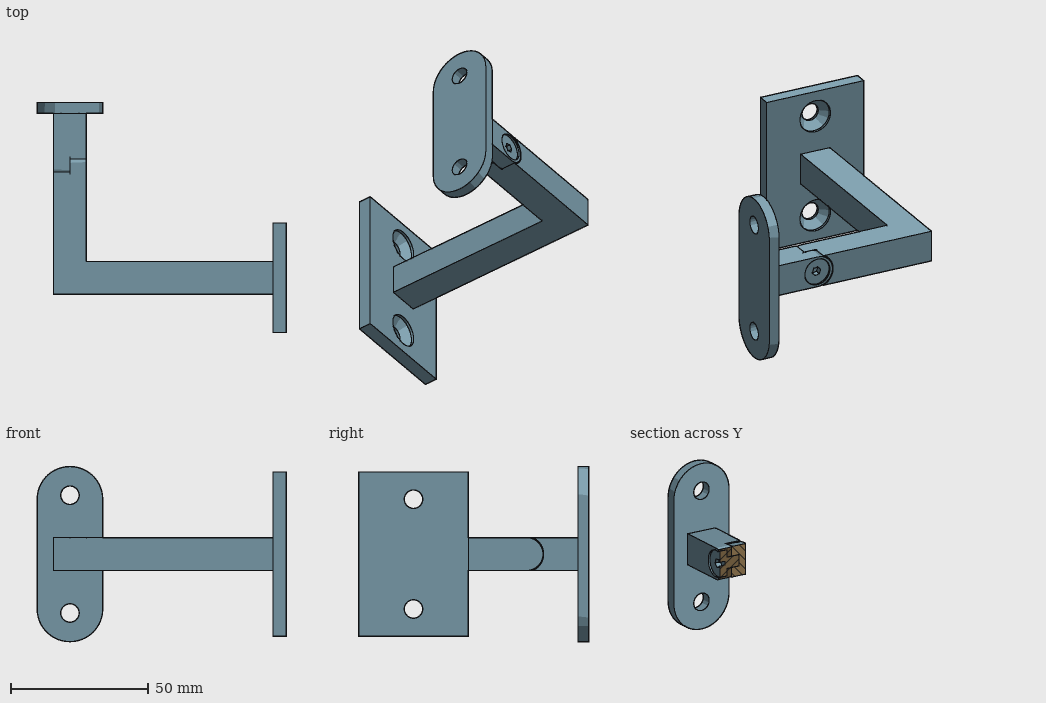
import cadquery as cq
import math

overall_x = 91.0
overall_y = 84.0

strap_width = 24.0
strap_height = 64.0
strap_thickness = 4.0
strap_hole_diameter = 6.6
strap_hole_spacing = 42.95

wall_plate_width = 40.0
wall_plate_height = 60.0
wall_plate_thickness = 5.0
wall_hole_spacing = 40.0
wall_hole_diameter = 6.6
countersink_diameter = 12.6
countersink_lead = 1.0

bar_size = 12.0
bar_half = bar_size / 2
bar_x = strap_width / 2
bar_end_y = overall_y - strap_thickness
arm_y = wall_plate_width / 2
arm_end_x = overall_x - wall_plate_thickness

pivot_to_strap_back = 22.9
pivot_y = overall_y - pivot_to_strap_back
tongue_overrun = 0.2
seat_clearance = 0.5
seat_radius = bar_half + seat_clearance

screw_head_diameter = 10.3
screw_head_height = 3.0
screw_head_sink = 0.7
screw_shank_diameter = 5.0
screw_tip_cover = 3.0
socket_across_flats = 3.0
socket_depth = 2.3
socket_sides = 6
socket_turn = -12

bar_z_range = (-bar_half, bar_half)
joint_left_x = bar_x - bar_half
joint_right_x = bar_x + bar_half


def box_between(x_range, y_range, z_range):
    """Box spanning the given (low, high) ranges."""
    sizes = [high - low for low, high in (x_range, y_range, z_range)]
    corner = (x_range[0], y_range[0], z_range[0])
    return cq.Workplane("XY").box(*sizes, centered=False).translate(corner)


def cross_cylinder(radius, x_start, x_end, center_y=pivot_y):
    """Cylinder running along X, on the pivot axis unless another center is given."""
    return (
        cq.Workplane("YZ", origin=(x_start, center_y, 0))
        .circle(radius)
        .extrude(x_end - x_start)
    )


def make_strap():
    """Upright plate with round ends and a screw hole near each end."""
    return (
        cq.Workplane("XZ", origin=(bar_x, overall_y, 0))
        .slot2D(strap_height, strap_width, angle=90)
        .extrude(strap_thickness)
        .faces("<Y")
        .workplane(centerOption="CenterOfBoundBox")
        .rarray(0.9, strap_hole_spacing, 1, 2)
        .hole(strap_hole_diameter)
    )


def wall_screw_hole():
    """Through hole along +X from the origin, countersunk below a short straight lead."""
    hole_radius = wall_hole_diameter / 2
    sink_radius = countersink_diameter / 2
    cone_end = countersink_lead + sink_radius - hole_radius
    return (
        cq.Workplane("XY")
        .polyline([
            (0, 0),
            (0, sink_radius),
            (countersink_lead, sink_radius),
            (cone_end, hole_radius),
            (wall_plate_thickness, hole_radius),
            (wall_plate_thickness, 0),
        ])
        .close()
        .revolve(360, (0, 0, 0), (1, 0, 0))
    )


def make_wall_plate():
    """Rectangular plate with a countersunk hole above and below the arm."""
    plate = (
        cq.Workplane("YZ", origin=(arm_end_x, arm_y, 0))
        .rect(wall_plate_width, wall_plate_height)
        .extrude(wall_plate_thickness)
    )
    for hole_z in (-wall_hole_spacing / 2, wall_hole_spacing / 2):
        plate = plate.cut(wall_screw_hole().translate((arm_end_x, arm_y, hole_z)))
    return plate


def screw_space():
    """Stepped hole that the pivot screw fills, open at the -X face."""
    head_bottom_x = joint_left_x + screw_head_sink + screw_head_height
    shank_tip_x = joint_right_x - screw_tip_cover
    head = cross_cylinder(screw_head_diameter / 2, joint_left_x, head_bottom_x)
    shank = cross_cylinder(screw_shank_diameter / 2, head_bottom_x, shank_tip_x)
    return head.union(shank)


def make_tongue(x_start, x_end, round_center_y):
    """Half-thickness bar end: flat flanks from the pivot axis to the round tip."""
    flanks = box_between((x_start, x_end), sorted((pivot_y, round_center_y)), bar_z_range)
    tip = cross_cylinder(bar_half, x_start, x_end, round_center_y)
    return flanks.union(tip)


def make_rail_bar():
    """Short bar on the strap, with its tongue on the -X half of the joint."""
    bar = box_between((joint_left_x, joint_right_x), (pivot_y, bar_end_y), bar_z_range)
    tongue = make_tongue(joint_left_x, bar_x, pivot_y - tongue_overrun)
    seat = cross_cylinder(seat_radius, bar_x, joint_right_x)
    return bar.union(tongue).cut(seat).cut(screw_space())


def make_elbow_arm():
    """L-shaped bar from the wall plate, with its tongue on the +X half of the joint."""
    arm = box_between((joint_left_x, arm_end_x), (arm_y - bar_half, arm_y + bar_half), bar_z_range)
    riser = box_between((joint_left_x, joint_right_x), (arm_y - bar_half, pivot_y), bar_z_range)
    tongue = make_tongue(bar_x, joint_right_x, pivot_y + tongue_overrun)
    seat = cross_cylinder(seat_radius, joint_left_x, bar_x)
    return arm.union(riser).union(tongue).cut(seat).cut(screw_space())


def make_pivot_screw():
    """Pivot screw with a hexagonal socket, its head sunk below the -X face of the joint."""
    head_top_x = joint_left_x + screw_head_sink
    sink = cross_cylinder(screw_head_diameter / 2, joint_left_x, head_top_x)
    socket_across_corners = socket_across_flats / math.cos(math.pi / socket_sides)
    socket = (
        cq.Workplane("YZ", origin=(head_top_x, pivot_y, 0))
        .transformed(rotate=(0, 0, socket_turn))
        .polygon(socket_sides, socket_across_corners)
        .extrude(socket_depth)
    )
    return screw_space().cut(sink).cut(socket)


strap = make_strap()
wall_plate = make_wall_plate()
rail_bar = make_rail_bar()
elbow_arm = make_elbow_arm()
pivot_screw = make_pivot_screw()

result = cq.Compound.makeCompound([
    strap.val(),
    wall_plate.val(),
    rail_bar.val(),
    elbow_arm.val(),
    pivot_screw.val(),
])